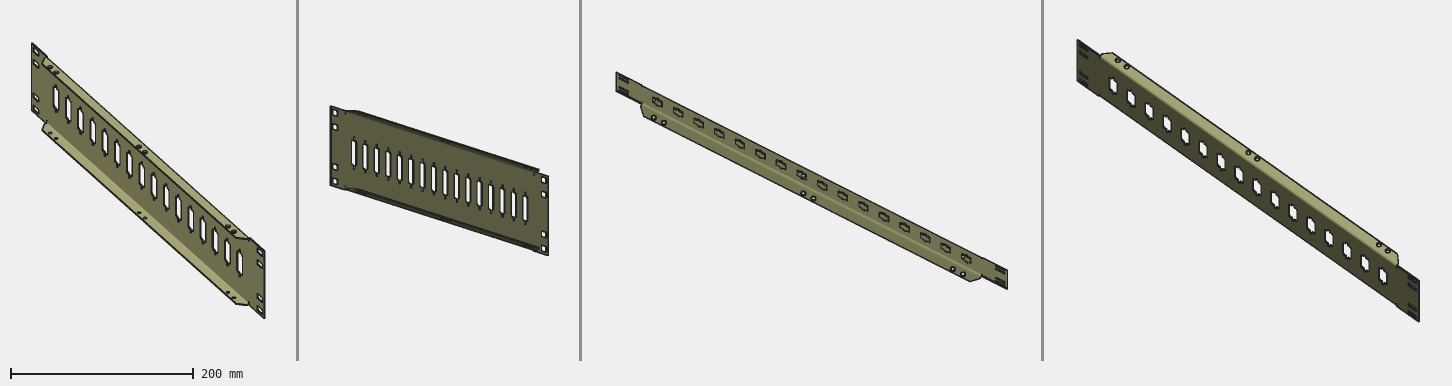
import cadquery as cq

panel_length = 482.5
panel_height = 88.5
depth = 12.5
thickness = 1.5
bend_inner_radius = 1.5
bend_outer_radius = bend_inner_radius + thickness

flange_inset = 32.0
flange_length = panel_length - 2 * flange_inset
flange_corner_cut = 8.0
relief_width = 0.5
relief_depth = 4.5

slot_width = 11.5
slot_height = 6.5
slot_corner_radius = 1.5
slot_end_distance = 9.0
slot_x = panel_length / 2 - slot_end_distance
slot_heights = (22.0, 38.0)

cutout_count = 16
cutout_row_span = 381.0
cutout_pitch = cutout_row_span / (cutout_count - 1)
cutout_width = 11.5
cutout_height = 27.5
cutout_corner_radius = 2.5
cutout_notch_width = 3.0
cutout_notch_span = 36.0

hole_pair_x = 184.5
hole_spacing = 12.5
hole_edge_distance = 4.0
hole_diameter = 3.5
countersink_diameter = 6.0
countersink_angle = 90

back_y = depth / 2
front_y = -depth / 2
panel_middle_y = back_y - thickness / 2
half_height = panel_height / 2


def folded_channel():
    """C-shaped sheet with rounded bends and cut front corners on both flanges."""
    outer = (
        cq.Workplane("XY")
        .box(flange_length, depth, panel_height)
        .edges("|X and >Y")
        .fillet(bend_outer_radius)
    )
    inner = (
        cq.Workplane("XY")
        .box(flange_length, depth, panel_height - 2 * thickness)
        .edges("|X and >Y")
        .fillet(bend_inner_radius)
        .translate((0, -thickness, 0))
    )
    return outer.cut(inner).edges("|Z and <Y").chamfer(flange_corner_cut)


def end_plate(side):
    """Flat panel end beside the flanges, on the side given by the sign."""
    x_center = side * (panel_length - flange_inset) / 2
    plate = cq.Workplane("XY").box(flange_inset, thickness, panel_height)
    return plate.translate((x_center, panel_middle_y, 0))


def panel_cutter(width, height, corner_radius):
    """Rounded rectangular through-cutter for the panel, centred on X and Z."""
    cutter = cq.Workplane("XY").box(width, 2 * thickness, height)
    return cutter.edges("|Y").fillet(corner_radius).translate((0, panel_middle_y, 0))


def cut_bend_reliefs(body):
    """Narrow slits that separate the bends from the flat panel ends."""
    relief = cq.Workplane("XY").box(relief_width, 2 * depth, relief_depth)
    relief_x = (flange_length + relief_width) / 2
    relief_z = half_height - relief_depth / 2
    for x in (-relief_x, relief_x):
        for z in (-relief_z, relief_z):
            body = body.cut(relief.translate((x, 0, z)))
    return body


def cut_rack_slots(body):
    """Four mounting slots at each end of the panel."""
    slot = panel_cutter(slot_width, slot_height, slot_corner_radius)
    for x in (-slot_x, slot_x):
        for z in slot_heights:
            body = body.cut(slot.translate((x, 0, z)))
            body = body.cut(slot.translate((x, 0, -z)))
    return body


def cut_connector_openings(body):
    """Row of upright openings, each with a rounded notch at both ends."""
    window = panel_cutter(cutout_width, cutout_height, cutout_corner_radius)
    notches = (
        cq.Workplane("XZ", origin=(0, panel_middle_y, 0))
        .slot2D(cutout_notch_span, cutout_notch_width, angle=90)
        .extrude(thickness, both=True)
    )
    opening = window.union(notches)
    for index in range(cutout_count):
        x = index * cutout_pitch - cutout_row_span / 2
        body = body.cut(opening.translate((x, 0, 0)))
    return body


def cut_flange_holes(body):
    """Pairs of holes through both flanges, countersunk on the outer faces."""
    hole_y = front_y + hole_edge_distance
    points = [
        (pair_x + offset, 0)
        for pair_x in (-hole_pair_x, 0, hole_pair_x)
        for offset in (-hole_spacing / 2, hole_spacing / 2)
    ]
    for outward in (1, -1):
        outer_face = cq.Plane(
            origin=(0, hole_y, outward * half_height), xDir=(1, 0, 0), normal=(0, 0, outward)
        )
        body = (
            body.copyWorkplane(cq.Workplane(outer_face))
            .pushPoints(points)
            .cskHole(hole_diameter, countersink_diameter, countersink_angle, depth=2 * thickness)
        )
    return body


result = folded_channel().union(end_plate(-1)).union(end_plate(1))
result = cut_bend_reliefs(result)
result = cut_rack_slots(result)
result = cut_connector_openings(result)
result = cut_flange_holes(result)